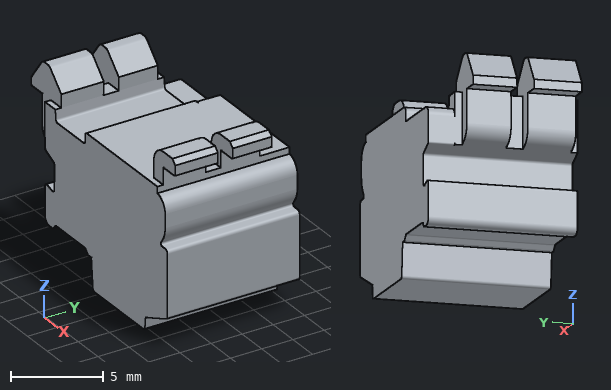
import cadquery as cq
import math

LENGTH = 14.7
WIDTH = 8.5
HEIGHT = 11.5

TOP = 9.45
TROUGH_FLOOR = 8.72
CORNER_FLOOR = 8.6
SHELF = 5.98
LIP_TOP = 4.5
LIP_ROOT = 4.23
UNDERSIDE = 2.3
FOOT = 1.98

FRONT = 2.01
GROOVE = 2.97
RIM_BACK = 3.07
RIM_TAPER = 0.06
STEP = 6.12
BASE_FRONT = 6.72
BASE_BACK = 12.27
TOP_BACK = 13.48
BULGE = 14.27
BACK = 14.51

SLOPE_AT_FRONT = 6.51
SLOPE_FALL = 0.44

BULGE_START = 9.04
BULGE_UPPER_CORNER = 8.91
BULGE_LOWER_CORNER = 6.79
BULGE_UPPER_RADIUS = 0.94
BULGE_LOWER_RADIUS = 1.47
NOTCH = 13.72
NOTCH_RADIUS = 0.13
SHELF_RADIUS = 0.24

BASE_FRONT_DRAFT = 0.18
BASE_BACK_DRAFT = 0.09
BASE_BACK_TOP = 0.82
BACK_SLOPE_TOP = 1.75
BACK_SLOPE_RADIUS = 0.22

RECESS_FRONT = 3.09
RECESS_BACK = 6.1
RECESS_FRONT_RUN = 0.25
RECESS_BACK_RUN = 0.3
FOOT_RADIUS = 0.41

CORNER_FRONT_RADIUS = 0.51
CORNER_STEP_RADIUS = 0.4

CORNER_START = 7.0
TAB_SPANS = [(0.38, 3.12), (4.07, 6.59)]

SMALL_RADIUS = 0.1
EDGE_RADIUS = 0.18
LATCH_RADIUS = 0.44

LATCH_FRONT = 1.12
LATCH_NOSE = 0.51
LATCH_RAMP_TOP = 1.16
LATCH_CREST_END = 1.87
LATCH_BEND = 0.95
HOOK_THICKNESS = 0.97
HOOK_CHAMFER = 0.3


def slope_height(x):
    """Height of the sloping face under the latches at a given X."""
    return SLOPE_AT_FRONT - SLOPE_FALL * (x - FRONT)


def rounded_outline(corners, start_y):
    """Closed XZ outline at start_y from (x, z, radius) corners; radius 0 is sharp."""
    outline = cq.Workplane("XZ", origin=(0, start_y, 0))
    started = False
    for index, (x, z, radius) in enumerate(corners):
        corner = cq.Vector(x, z)
        before = cq.Vector(*corners[index - 1][:2])
        after = cq.Vector(*corners[(index + 1) % len(corners)][:2])
        to_before = (before - corner).normalized()
        to_after = (after - corner).normalized()
        half_angle = to_before.getAngle(to_after) / 2
        setback = radius / math.tan(half_angle)
        entry = corner + to_before * setback
        outline = outline.lineTo(entry.x, entry.y) if started else outline.moveTo(entry.x, entry.y)
        started = True
        if radius > 0:
            bisector = (to_before + to_after).normalized()
            middle = corner + bisector * (radius / math.sin(half_angle) - radius)
            leave = corner + to_after * setback
            outline = outline.threePointArc((middle.x, middle.y), (leave.x, leave.y))
    return outline.close()


def prism(corners, start_y, end_y):
    """Rounded outline extruded along +Y between two stations."""
    return rounded_outline(corners, start_y).extrude(start_y - end_y)


shared_corners = [
    (TOP_BACK, TOP, 0),
    (TOP_BACK, BULGE_START, 0),
    (BULGE, BULGE_UPPER_CORNER, BULGE_UPPER_RADIUS),
    (BULGE, BULGE_LOWER_CORNER, BULGE_LOWER_RADIUS),
    (NOTCH, SHELF, NOTCH_RADIUS),
    (BACK, SHELF, SHELF_RADIUS),
    (BACK, BACK_SLOPE_TOP, BACK_SLOPE_RADIUS),
    (BASE_BACK, BASE_BACK_TOP, 0),
    (BASE_BACK - BASE_BACK_DRAFT, 0, EDGE_RADIUS),
    (BASE_FRONT + BASE_FRONT_DRAFT, 0, EDGE_RADIUS),
    (BASE_FRONT, FOOT, 0),
    (RECESS_BACK + RECESS_BACK_RUN, FOOT, SMALL_RADIUS),
    (RECESS_BACK, UNDERSIDE, EDGE_RADIUS),
    (RECESS_FRONT, UNDERSIDE, EDGE_RADIUS),
    (RECESS_FRONT - RECESS_FRONT_RUN, FOOT, EDGE_RADIUS),
    (FRONT, FOOT, FOOT_RADIUS),
    (FRONT, LIP_TOP, EDGE_RADIUS),
    (GROOVE, LIP_ROOT, EDGE_RADIUS),
    (GROOVE, slope_height(GROOVE), EDGE_RADIUS),
]

rim_corners = [
    (FRONT, SLOPE_AT_FRONT, 0),
    (FRONT, TOP, 0),
    (RIM_BACK, TOP, 0),
    (RIM_BACK + RIM_TAPER, TROUGH_FLOOR, EDGE_RADIUS),
    (STEP, TROUGH_FLOOR, EDGE_RADIUS),
    (STEP, TOP, EDGE_RADIUS),
]

low_corners = [
    (FRONT, SLOPE_AT_FRONT, SMALL_RADIUS),
    (FRONT, CORNER_FLOOR, CORNER_FRONT_RADIUS),
    (STEP, CORNER_FLOOR, 0),
    (STEP, TOP, CORNER_STEP_RADIUS),
]

latch_corners = [
    (0, TOP, 0),
    (0, TOP + LATCH_NOSE, 0),
    (LATCH_RAMP_TOP, HEIGHT, LATCH_RADIUS),
    (LATCH_CREST_END, HEIGHT, LATCH_RADIUS),
    (RIM_BACK, HEIGHT - (RIM_BACK - LATCH_CREST_END), 0),
    (RIM_BACK, TOP, 0),
    (FRONT, TOP, 0),
    (FRONT, SLOPE_AT_FRONT, 0),
    (LATCH_FRONT, slope_height(LATCH_FRONT), LATCH_BEND),
    (LATCH_FRONT, TOP, 0),
]

hook_corners = [
    (TOP_BACK - HOOK_THICKNESS, TOP, 0),
    (TOP_BACK - HOOK_THICKNESS, HEIGHT, HOOK_THICKNESS),
    (LENGTH - HOOK_CHAMFER, HEIGHT, 0),
    (LENGTH, HEIGHT - HOOK_CHAMFER, 0),
    (LENGTH, HEIGHT - HOOK_THICKNESS, SMALL_RADIUS),
    (TOP_BACK, HEIGHT - HOOK_THICKNESS, 0),
    (TOP_BACK, TOP, 0),
]

result = prism(shared_corners + rim_corners, 0, CORNER_START)
result = result.union(prism(shared_corners + low_corners, CORNER_START, WIDTH))
for tab_start, tab_end in TAB_SPANS:
    result = result.union(prism(latch_corners, tab_start, tab_end))
    result = result.union(prism(hook_corners, tab_start, tab_end))
result = result.clean()